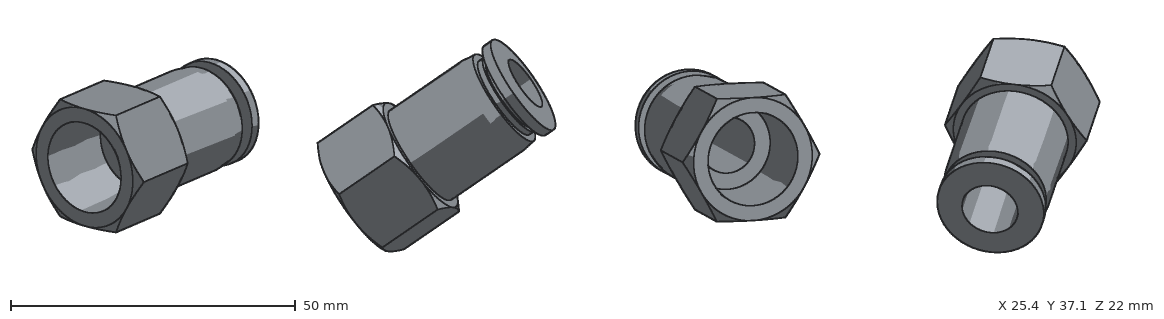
import cadquery as cq
import math


TOTAL_LENGTH = 37.1
HEX_LENGTH = 14.1
BODY_LENGTH = 15.9
TAPER_LENGTH = 2.45
RING_LENGTH = 1.1
NECK_LENGTH = 1.2
FLANGE_BEVEL_LENGTH = 0.5

HEX_SIDES = 6
HEX_ACROSS_FLATS = 22.0
HEX_CHAMFER_ANGLE = 30.0
RIM_CLEARANCE = 1.0

BODY_DIAMETER = 19.1
TAPER_END_DIAMETER = 18.4
RING_DIAMETER = 15.7
NECK_DIAMETER = 13.9
FLANGE_DIAMETER = 19.1
FLANGE_FACE_DIAMETER = 14.0

SOCKET_DIAMETER = 16.66
SOCKET_TAPER = 1 / 16
SOCKET_DEPTH = 14.0
BORE_DIAMETER = 10.0


def revolve_profile(points):
    """Turn a closed (radius, position) outline around the Y axis."""
    return cq.Workplane("XY").polyline(points).close().revolve(360, (0, 0, 0), (0, 1, 0))


def make_hexagon():
    """Hexagon with flats facing +Z and -Z and conical chamfers on both ends."""
    corner_diameter = HEX_ACROSS_FLATS / math.cos(math.pi / HEX_SIDES)
    prism = (
        cq.Workplane("XZ")
        .polygon(HEX_SIDES, corner_diameter)
        .extrude(-HEX_LENGTH)
    )
    face_radius = HEX_ACROSS_FLATS / 2
    corner_radius = corner_diameter / 2
    chamfer_slope = math.tan(math.radians(HEX_CHAMFER_ANGLE))
    rim_radius = corner_radius + RIM_CLEARANCE
    chamfer_length = (rim_radius - face_radius) * chamfer_slope
    envelope = revolve_profile([
        (0, 0),
        (face_radius, 0),
        (rim_radius, chamfer_length),
        (rim_radius, HEX_LENGTH - chamfer_length),
        (face_radius, HEX_LENGTH),
        (0, HEX_LENGTH),
    ])
    return prism.intersect(envelope)


def make_barrel():
    """Round body, tapered shoulder, ring, neck and release flange."""
    body_end = HEX_LENGTH + BODY_LENGTH
    taper_end = body_end + TAPER_LENGTH
    ring_end = taper_end + RING_LENGTH
    neck_end = ring_end + NECK_LENGTH
    bevel_start = TOTAL_LENGTH - FLANGE_BEVEL_LENGTH
    return revolve_profile([
        (0, 0),
        (BODY_DIAMETER / 2, 0),
        (BODY_DIAMETER / 2, body_end),
        (TAPER_END_DIAMETER / 2, taper_end),
        (RING_DIAMETER / 2, taper_end),
        (RING_DIAMETER / 2, ring_end),
        (NECK_DIAMETER / 2, ring_end),
        (NECK_DIAMETER / 2, neck_end),
        (FLANGE_DIAMETER / 2, neck_end),
        (FLANGE_DIAMETER / 2, bevel_start),
        (FLANGE_FACE_DIAMETER / 2, TOTAL_LENGTH),
        (0, TOTAL_LENGTH),
    ])


def make_passage():
    """Tapered socket followed by the through bore."""
    socket_end_diameter = SOCKET_DIAMETER - SOCKET_TAPER * SOCKET_DEPTH
    return revolve_profile([
        (0, 0),
        (SOCKET_DIAMETER / 2, 0),
        (socket_end_diameter / 2, SOCKET_DEPTH),
        (BORE_DIAMETER / 2, SOCKET_DEPTH),
        (BORE_DIAMETER / 2, TOTAL_LENGTH),
        (0, TOTAL_LENGTH),
    ])


result = make_hexagon().union(make_barrel()).cut(make_passage())